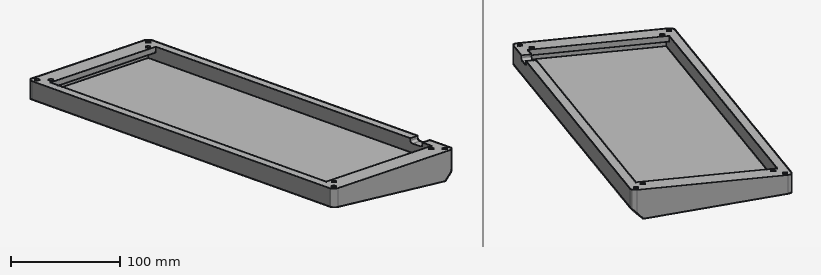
import cadquery as cq

length = 402.0
width = 154.0
height = 29.0
corner_radius = 5.2

front_height = 18.0
back_height = 18.5
bevel_run = 11.3

wall = 9.5
end_lip = 19.5
lip_thickness = 5.5
cavity_depth = 13.5
opening_length = length - 2 * end_lip
cavity_length = length - 2 * wall
cavity_width = width - 2 * wall

corner_hole_diameter = 4.5
lip_hole_diameter = 4.5
corner_hole_inset = 6.0
lip_hole_inset = 15.0

notch_center_x = 161.2
notch_width = 15.5
notch_depth = 4.5
notch_radius = 2.5


def make_body():
    """Wedge-shaped block with rounded vertical corners."""
    front = -width / 2
    back = width / 2
    profile = [
        (front, 0),
        (back, 0),
        (back, -back_height),
        (back - bevel_run, -height),
        (front, -front_height),
    ]
    wedge = cq.Workplane("YZ").polyline(profile).close().extrude(length / 2, both=True)
    outline = cq.Workplane("XY").rect(length, width).extrude(-height).edges("|Z").fillet(corner_radius)
    return wedge.intersect(outline)


def make_cavity():
    """Opening at the rim joined to the longer space beneath the two end lips."""
    opening = cq.Workplane("XY").rect(opening_length, cavity_width).extrude(-cavity_depth)
    lower_space = (
        cq.Workplane("XY", origin=(0, 0, -lip_thickness))
        .rect(cavity_length, cavity_width)
        .extrude(lip_thickness - cavity_depth)
    )
    return opening.union(lower_space)


def make_holes(diameter, inset, depth):
    """Four vertical holes, each set in by the same distance from both sides of its corner."""
    return (
        cq.Workplane("XY")
        .rect(length - 2 * inset, width - 2 * inset, forConstruction=True)
        .vertices()
        .circle(diameter / 2)
        .extrude(-depth)
    )


def make_notch():
    """Channel with rounded bottom corners, open at the top and across the back wall."""
    return (
        cq.Workplane("XY", origin=(notch_center_x, (width - wall) / 2, 0))
        .rect(notch_width, wall)
        .extrude(-notch_depth)
        .edges("|Y and <Z")
        .fillet(notch_radius)
    )


corner_holes = make_holes(corner_hole_diameter, corner_hole_inset, height)
lip_holes = make_holes(lip_hole_diameter, lip_hole_inset, lip_thickness)

result = make_body().cut(make_cavity()).cut(corner_holes).cut(lip_holes).cut(make_notch())